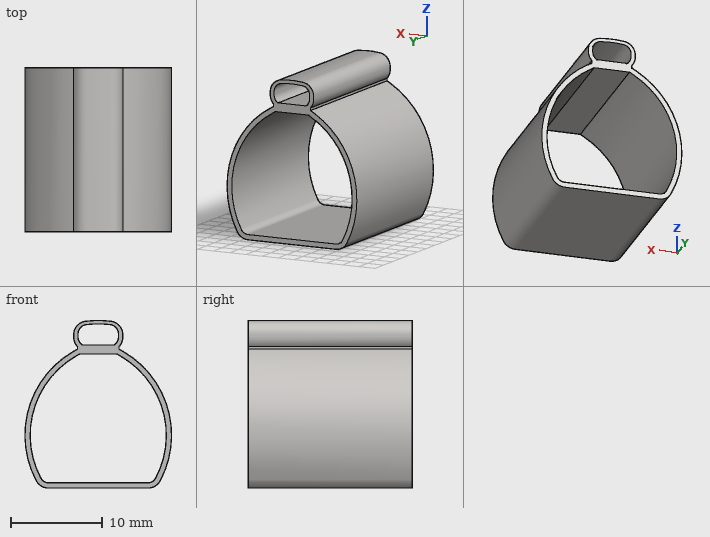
import cadquery as cq
import math

length = 18.0

body_half_width = 8.045
body_wall = 0.6
side_radius = 10.6
side_center_z = 5.8
side_end_angle = math.radians(60)
base_corner_radius = 1.55
cavity_top_z = 14.7

neck_half_width = 2.3
tube_half_width = 2.7
tube_side_wall = 0.5
tube_top_wall = 0.4
tube_top_z = 18.39
tube_crown_radius = 11.0
tube_corner_radius = 1.5
tube_side_bottom_z = 16.55
tube_floor_z = 15.7


def point_on_circle(center, radius, angle):
    return (center[0] + radius * math.cos(angle), center[1] + radius * math.sin(angle))


def mirrored_prism(start, draw_half):
    """Extrude the right half of a profile, starting on the Z axis, and mirror it about X = 0."""
    half = draw_half(cq.Workplane("XZ").moveTo(*start)).close()
    solid = half.extrude(length / 2, both=True)
    return solid.union(solid.mirror("YZ"))


def body_prism(inset, top_z, top_half_width=None):
    """Body outline moved inwards by inset; the shoulder stops at top_half_width or at top_z."""
    arc_radius = side_radius - inset
    corner_radius = base_corner_radius - inset
    side_center = (body_half_width - side_radius, side_center_z)

    corner_drop = side_center_z - base_corner_radius
    corner_reach = math.sqrt((side_radius - base_corner_radius) ** 2 - corner_drop**2)
    corner_center = (side_center[0] + corner_reach, base_corner_radius)
    side_start_angle = -math.atan2(corner_drop, corner_reach)
    corner_mid_angle = (side_start_angle - math.pi / 2) / 2
    side_mid_angle = (side_start_angle + side_end_angle) / 2

    side_end = point_on_circle(side_center, arc_radius, side_end_angle)
    shoulder_slope = math.tan(side_end_angle)
    if top_half_width is None:
        top_half_width = side_end[0] - (top_z - side_end[1]) * shoulder_slope
    shoulder_z = side_end[1] + (side_end[0] - top_half_width) / shoulder_slope

    def draw_half(sketch):
        sketch = (
            sketch.lineTo(corner_center[0], inset)
            .threePointArc(
                point_on_circle(corner_center, corner_radius, corner_mid_angle),
                point_on_circle(corner_center, corner_radius, side_start_angle),
            )
            .threePointArc(point_on_circle(side_center, arc_radius, side_mid_angle), side_end)
            .lineTo(top_half_width, shoulder_z)
        )
        if top_z > shoulder_z:
            sketch = sketch.lineTo(top_half_width, top_z)
        return sketch.lineTo(0, top_z)

    return mirrored_prism((0, inset), draw_half)


def tube_prism(half_width, top_z, crown_radius, corner_radius, bottom_z=None, bottom_half_width=None):
    """Tube outline with an arched top; its lower corner is cut at bottom_z or bottom_half_width."""
    crown_center_z = top_z - crown_radius
    corner_x = half_width - corner_radius
    corner_z = crown_center_z + math.sqrt((crown_radius - corner_radius) ** 2 - corner_x**2)
    crown_angle = math.atan2(corner_z - crown_center_z, corner_x)
    crown_mid_angle = (crown_angle + math.pi / 2) / 2

    upper_center = (corner_x, corner_z)
    lower_center = (corner_x, tube_side_bottom_z)
    if bottom_z is None:
        lower_angle = -math.acos((bottom_half_width - corner_x) / corner_radius)
    else:
        lower_angle = -math.asin((tube_side_bottom_z - bottom_z) / corner_radius)
    lower_end = point_on_circle(lower_center, corner_radius, lower_angle)

    def draw_half(sketch):
        return (
            sketch.lineTo(*lower_end)
            .threePointArc(
                point_on_circle(lower_center, corner_radius, lower_angle / 2),
                (half_width, tube_side_bottom_z),
            )
            .lineTo(half_width, corner_z)
            .threePointArc(
                point_on_circle(upper_center, corner_radius, crown_angle / 2),
                point_on_circle(upper_center, corner_radius, crown_angle),
            )
            .threePointArc(
                point_on_circle((0, crown_center_z), crown_radius, crown_mid_angle),
                (0, top_z),
            )
        )

    return mirrored_prism((0, lower_end[1]), draw_half)


body = body_prism(0, tube_floor_z, neck_half_width)
body_cavity = body_prism(body_wall, cavity_top_z)

tube = tube_prism(
    tube_half_width,
    tube_top_z,
    tube_crown_radius,
    tube_corner_radius,
    bottom_half_width=neck_half_width,
)
tube_cavity = tube_prism(
    tube_half_width - tube_side_wall,
    tube_top_z - tube_top_wall,
    tube_crown_radius - tube_top_wall,
    tube_corner_radius - tube_side_wall,
    bottom_z=tube_floor_z,
)

result = body.union(tube).cut(body_cavity).cut(tube_cavity).clean()